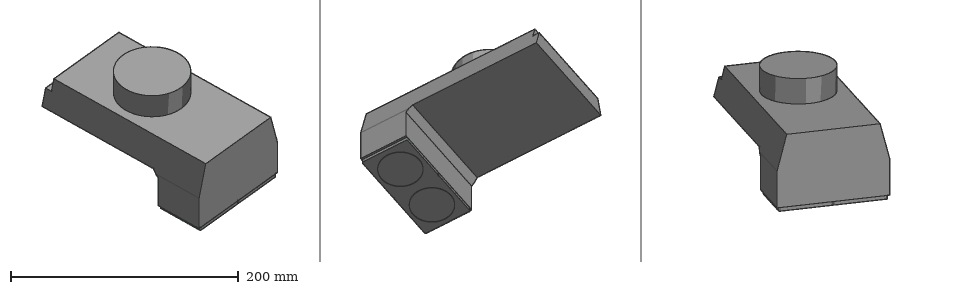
import cadquery as cq

length = 185.0
width = 104.0
top_width = 86.2

arm_thickness = 30.2
taper_height = 33.7
step_length = 6.8
step_depth = 12.2

leg_length = 48.0
leg_drop = 68.0
corner_chamfer = 6.5

pad_length = 47.7
pad_width = 50.3
pad_spacing = 50.0
pad_height = 3.5
pad_corner_radius = 1.3
disc_diameter = 40.0
disc_height = 0.5

boss_diameter = 68.0
boss_height = 23.9
boss_x = 84.0

leg_bottom = disc_height + pad_height
arm_top = leg_bottom + leg_drop
arm_bottom = arm_top - arm_thickness
leg_x = length - leg_length
pad_x = length - leg_length / 2


def make_body():
    """Stepped arm with a leg, trimmed to a cross-section that narrows upwards."""
    side_profile = (
        cq.Workplane("XZ")
        .moveTo(0, arm_bottom)
        .lineTo(leg_x - corner_chamfer, arm_bottom)
        .lineTo(leg_x, arm_bottom - corner_chamfer)
        .lineTo(leg_x, leg_bottom)
        .lineTo(length, leg_bottom)
        .lineTo(length, arm_top)
        .lineTo(step_length, arm_top)
        .lineTo(step_length, arm_top - step_depth)
        .lineTo(0, arm_top - step_depth)
        .close()
        .extrude(width / 2, both=True)
    )
    cross_section = (
        cq.Workplane("YZ")
        .moveTo(-width / 2, leg_bottom)
        .lineTo(width / 2, leg_bottom)
        .lineTo(width / 2, arm_top - taper_height)
        .lineTo(top_width / 2, arm_top)
        .lineTo(-top_width / 2, arm_top)
        .lineTo(-width / 2, arm_top - taper_height)
        .close()
        .extrude(length)
    )
    return side_profile.intersect(cross_section)


def make_boss():
    """Cylindrical boss standing on the arm."""
    return (
        cq.Workplane("XY", origin=(boss_x, 0, arm_top))
        .circle(boss_diameter / 2)
        .extrude(boss_height)
    )


def make_foot(y):
    """Round-cornered pad centred at y, with its contact disc underneath."""
    pad = (
        cq.Workplane("XY", origin=(pad_x, y, disc_height))
        .rect(pad_length, pad_width)
        .extrude(pad_height)
        .edges("|Z")
        .fillet(pad_corner_radius)
    )
    disc = (
        cq.Workplane("XY", origin=(pad_x, y, 0))
        .circle(disc_diameter / 2)
        .extrude(disc_height)
    )
    return pad.union(disc)


result = make_body().union(make_boss())
for side in (-1, 1):
    result = result.union(make_foot(side * pad_spacing / 2))